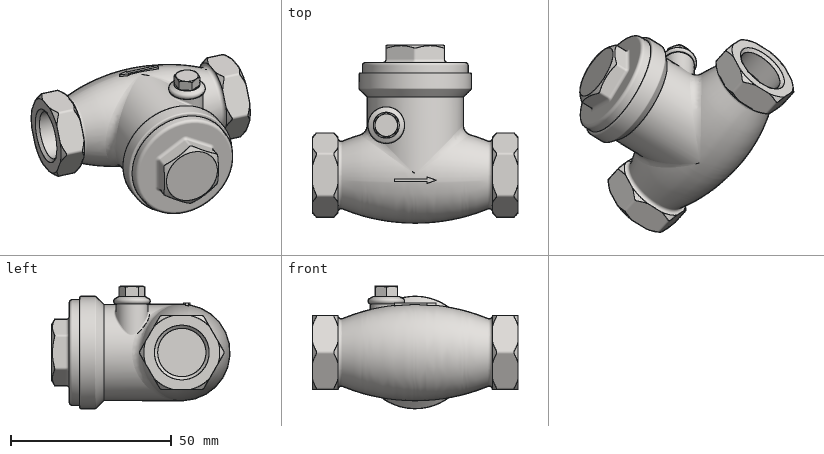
import cadquery as cq
import math

COS_30 = math.cos(math.radians(30))

pick_margin = 0.1

overall_length = 64.0
end_hex_flats = 23.0
end_hex_length = 8.0
end_hex_corner_fillet = 1.0
end_hex_chamfer_circle = 23.6
end_hex_chamfer_angle = 45.0
bore_diameter = 15.0
bore_depth = end_hex_length
bore_chamfer = 1.0

barrel_half_length = overall_length / 2 - end_hex_length
barrel_end_radius = 10.0
barrel_mid_radius = 15.01
barrel_fillet = 1.0

neck_diameter = 30.0
neck_blend_radius = 3.0
collar_diameter = 35.0
collar_cone_height = (collar_diameter - neck_diameter) / 2
collar_rim_height = 5.0
collar_bottom = 24.25
collar_cone_top = collar_bottom + collar_cone_height
collar_top = collar_cone_top + collar_rim_height
collar_edge_fillet = 0.5
cover_diameter = 33.0
cover_top = 35.0
cover_edge_fillet = 1.0
cover_hex_flats = 18.2
cover_hex_top = 40.5
cover_hex_corner_fillet = 1.0
cover_hex_base_fillet = 1.0
cover_hex_chamfer_circle = 17.2
cover_hex_chamfer_angle = 30.0

boss_x = -9.0
boss_y = 15.5
boss_diameter = 10.0
boss_top = 15.0
boss_edge_fillet = 0.4
boss_root_fillet = 0.5

plug_flange_diameter = 11.4
plug_flange_mid_height = 1.0
plug_flange_shoulder_radius = 5.1
plug_flange_shoulder_height = 1.85
plug_flange_top_slope = 30.0
plug_hex_flats = 7.0
plug_top = 20.6
plug_hex_chamfer_circle = plug_hex_flats
plug_hex_chamfer_angle = 30.0

arrow_tail_x = -6.5
arrow_tip_x = 6.5
arrow_head_length = 2.8
arrow_shaft_width = 0.9
arrow_head_width = 2.0
arrow_y = -1.6
arrow_top = 15.4
arrow_root = 13.5


def hex_bar(flats, length, corner_fillet=0):
    """Hexagonal bar rising from z = 0 with two corners on the X axis."""
    bar = cq.Workplane("XY").polygon(6, flats / COS_30).extrude(length)
    if corner_fillet:
        bar = bar.edges("|Z").fillet(corner_fillet)
    return bar


def double_cone(circle, angle, length):
    """Two cones base to base; each end is a flat circle at z = 0 and at z = length."""
    widest = circle / 2 + length / 2 / math.tan(math.radians(angle))
    return (
        cq.Workplane("XZ")
        .lineTo(circle / 2, 0)
        .lineTo(widest, length / 2)
        .lineTo(circle / 2, length)
        .lineTo(0, length)
        .close()
        .revolve(360, (0, 0, 0), (0, 1, 0))
    )


def top_cone(circle, angle, length):
    """Cone that widens downwards from a flat circle at z = length to z = 0."""
    widest = circle / 2 + length / math.tan(math.radians(angle))
    return (
        cq.Workplane("XZ")
        .lineTo(widest, 0)
        .lineTo(circle / 2, length)
        .lineTo(0, length)
        .close()
        .revolve(360, (0, 0, 0), (0, 1, 0))
    )


def y_cylinder(diameter, start, end):
    """Round bar along Y from y = start to y = end."""
    return cq.Workplane("XZ", origin=(0, start, 0)).circle(diameter / 2).extrude(start - end)


def barrel():
    """Bulged barrel turned about the X axis, flaring into each end hexagon with a small fillet."""
    rise = barrel_mid_radius - barrel_end_radius
    bulge_radius = (barrel_half_length**2 + rise**2) / (2 * rise)
    bulge_centre_y = barrel_mid_radius - bulge_radius

    fillet_x = barrel_half_length - barrel_fillet
    tilt = math.asin(fillet_x / (bulge_radius + barrel_fillet))
    fillet_y = bulge_centre_y + (bulge_radius + barrel_fillet) * math.cos(tilt)
    contact_x = fillet_x - barrel_fillet * math.sin(tilt)
    contact_y = fillet_y - barrel_fillet * math.cos(tilt)
    half_sweep = (math.pi / 2 + tilt) / 2
    middle_x = fillet_x + barrel_fillet * math.cos(half_sweep)
    middle_y = fillet_y - barrel_fillet * math.sin(half_sweep)
    return (
        cq.Workplane("XY")
        .moveTo(-barrel_half_length, 0)
        .lineTo(-barrel_half_length, fillet_y)
        .threePointArc((-middle_x, middle_y), (-contact_x, contact_y))
        .threePointArc((0, barrel_mid_radius), (contact_x, contact_y))
        .threePointArc((middle_x, middle_y), (barrel_half_length, fillet_y))
        .lineTo(barrel_half_length, 0)
        .close()
        .revolve(360, (0, 0, 0), (1, 0, 0))
    )


def barrel_with_neck():
    """Barrel joined to the neck by a blend that runs all round their meeting line."""
    joined = barrel().union(y_cylinder(neck_diameter, 0, collar_bottom))
    half = neck_diameter / 2 + pick_margin
    meeting_line = cq.selectors.BoxSelector(
        (-half, pick_margin, -half), (half, collar_bottom - pick_margin, half), boundingbox=True
    )
    return joined.edges(meeting_line).fillet(neck_blend_radius)


def boss():
    """Round boss that carries the plug, reaching down to the barrel axis."""
    return (
        cq.Workplane("XY", origin=(boss_x, boss_y, 0))
        .circle(boss_diameter / 2)
        .extrude(boss_top)
        .faces(">Z")
        .edges()
        .fillet(boss_edge_fillet)
    )


def end_hex():
    """Hexagonal pipe end at -X, its corners pointing along Y."""
    bar = hex_bar(end_hex_flats, end_hex_length, end_hex_corner_fillet)
    bar = bar.intersect(double_cone(end_hex_chamfer_circle, end_hex_chamfer_angle, end_hex_length))
    bar = bar.rotate((0, 0, 0), (0, 0, 1), 90)
    return bar.rotate((0, 0, 0), (0, 1, 0), 90).translate((-overall_length / 2, 0, 0))


def end_bore():
    """Blind bore of the pipe end at -X with its entry chamfer."""
    radius = bore_diameter / 2
    face = -overall_length / 2
    return (
        cq.Workplane("XY")
        .moveTo(face, 0)
        .lineTo(face, radius + bore_chamfer)
        .lineTo(face + bore_chamfer, radius)
        .lineTo(face + bore_depth, radius)
        .lineTo(face + bore_depth, 0)
        .close()
        .revolve(360, (0, 0, 0), (1, 0, 0))
    )


def collar():
    """Collar at the end of the neck: a cone widening into a cylindrical rim."""
    turned = (
        cq.Workplane("XY")
        .moveTo(0, collar_bottom)
        .lineTo(neck_diameter / 2, collar_bottom)
        .lineTo(collar_diameter / 2, collar_cone_top)
        .lineTo(collar_diameter / 2, collar_top)
        .lineTo(0, collar_top)
        .close()
        .revolve(360, (0, 0, 0), (0, 1, 0))
    )
    rim_edges = cq.selectors.BoxSelector(
        (-collar_diameter, collar_cone_top - pick_margin, -collar_diameter),
        (collar_diameter, collar_top + pick_margin, collar_diameter),
    )
    return turned.edges("%CIRCLE").edges(rim_edges).fillet(collar_edge_fillet)


def cover():
    """Round cover with a hexagonal head, its corners pointing along Z."""
    disc = y_cylinder(cover_diameter, collar_top, cover_top)
    disc = disc.faces(">Y").edges().fillet(cover_edge_fillet)
    head_height = cover_hex_top - cover_top
    head = hex_bar(cover_hex_flats, head_height, cover_hex_corner_fillet)
    head = head.intersect(top_cone(cover_hex_chamfer_circle, cover_hex_chamfer_angle, head_height))
    head = head.rotate((0, 0, 0), (0, 0, 1), 90).rotate((0, 0, 0), (1, 0, 0), -90)
    head = head.translate((0, cover_top, 0))
    joined = disc.union(head)
    reach = cover_hex_flats / COS_30 / 2
    head_foot = cq.selectors.BoxSelector(
        (-reach, cover_top - pick_margin, -reach),
        (reach, cover_top + pick_margin, reach),
        boundingbox=True,
    )
    return joined.edges(head_foot).fillet(cover_hex_base_fillet)


def flow_arrow():
    """Raised arrow pointing along +X."""
    neck_x = arrow_tip_x - arrow_head_length
    return (
        cq.Workplane("XY", origin=(0, arrow_y, arrow_root))
        .moveTo(arrow_tail_x, -arrow_shaft_width / 2)
        .lineTo(neck_x, -arrow_shaft_width / 2)
        .lineTo(neck_x, -arrow_head_width / 2)
        .lineTo(arrow_tip_x, 0)
        .lineTo(neck_x, arrow_head_width / 2)
        .lineTo(neck_x, arrow_shaft_width / 2)
        .lineTo(arrow_tail_x, arrow_shaft_width / 2)
        .close()
        .extrude(arrow_top - arrow_root)
    )


def build_housing():
    """Valve housing in one piece with its cover and pipe ends."""
    body = barrel_with_neck()

    body = body.union(boss())
    boss_reach = boss_diameter / 2 + pick_margin
    boss_root = cq.selectors.BoxSelector(
        (boss_x - boss_reach, boss_y - boss_reach, pick_margin),
        (boss_x + boss_reach, boss_y + boss_reach, boss_top - boss_edge_fillet - pick_margin),
        boundingbox=True,
    )
    body = body.edges(boss_root).fillet(boss_root_fillet)

    body = body.union(collar()).union(cover())

    left_end = end_hex()
    body = body.union(left_end).union(left_end.mirror("YZ"))
    left_bore = end_bore()
    body = body.cut(left_bore).cut(left_bore.mirror("YZ"))

    return body.union(flow_arrow())


def build_plug():
    """Plug seated on the boss: a round-edged flange under a hexagonal head."""
    head_radius = plug_hex_flats / COS_30 / 2
    shoulder_width = plug_flange_shoulder_radius - head_radius
    shoulder_rise = shoulder_width * math.tan(math.radians(plug_flange_top_slope))
    shoulder_top = plug_flange_shoulder_height + shoulder_rise
    flange = (
        cq.Workplane("XZ")
        .lineTo(boss_diameter / 2, 0)
        .threePointArc(
            (plug_flange_diameter / 2, plug_flange_mid_height),
            (plug_flange_shoulder_radius, plug_flange_shoulder_height),
        )
        .lineTo(head_radius, shoulder_top)
        .lineTo(0, shoulder_top)
        .close()
        .revolve(360, (0, 0, 0), (0, 1, 0))
    )
    height = plug_top - boss_top
    head = hex_bar(plug_hex_flats, height)
    head = head.intersect(top_cone(plug_hex_chamfer_circle, plug_hex_chamfer_angle, height))
    head = head.rotate((0, 0, 0), (0, 0, 1), 90)
    return flange.union(head).translate((boss_x, boss_y, boss_top))


housing = build_housing()
plug = build_plug()

result = cq.Compound.makeCompound([housing.val(), plug.val()])